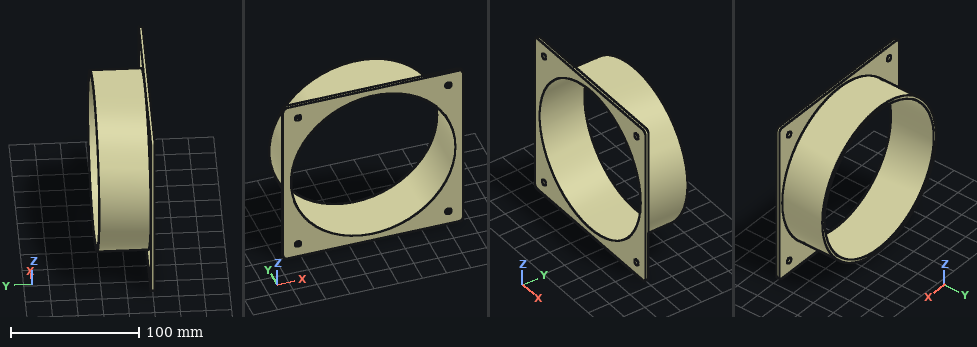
import cadquery as cq

flange_side = 149.0
flange_thickness = 3.0
corner_radius = 3.5

collar_length = 40.0
collar_outer_diameter = 142.0
collar_wall = 3.0
bore_diameter = collar_outer_diameter - 2 * collar_wall

hole_spacing = 124.5
hole_diameter = 5.0

total_depth = flange_thickness + collar_length


def plane_facing_back():
    """Workplane on the flange front face whose extrusions run along +Y."""
    return cq.Workplane("XZ").transformed(rotate=(180, 0, 0))


def make_flange():
    """Square plate with rounded corners."""
    plate = plane_facing_back().rect(flange_side, flange_side).extrude(flange_thickness)
    return plate.edges("|Y").fillet(corner_radius)


def make_collar():
    """Solid cylinder running the full depth."""
    return plane_facing_back().circle(collar_outer_diameter / 2).extrude(total_depth)


def make_bore():
    """Cutter for the air passage through flange and collar."""
    return plane_facing_back().circle(bore_diameter / 2).extrude(total_depth)


def make_mounting_holes():
    """Cutters for the four corner screw holes."""
    return (
        plane_facing_back()
        .rect(hole_spacing, hole_spacing, forConstruction=True)
        .vertices()
        .circle(hole_diameter / 2)
        .extrude(flange_thickness)
    )


result = make_flange().union(make_collar()).cut(make_bore()).cut(make_mounting_holes())